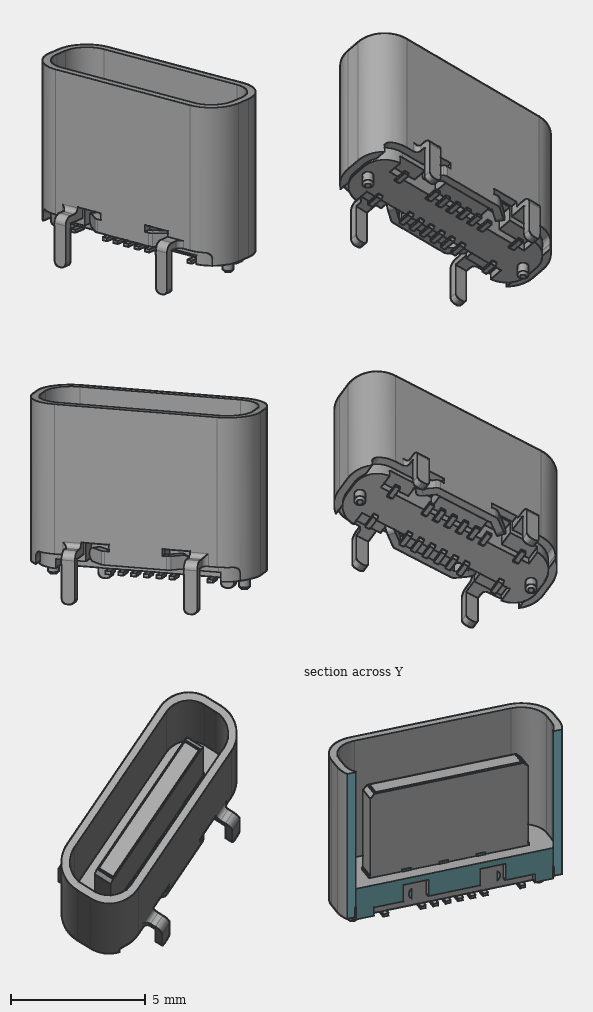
import cadquery as cq
import math


shell_length = 8.94
shell_depth = 3.165
shell_top = 6.365
shell_bottom = 0.11
shell_corner = 1.29
wall = 0.3
notch_half_length = 4.005
notch_top = 0.63
notch_corner = 0.215
tab_bottom = 0.36
face_y = shell_depth / 2
inner_y = face_y - wall

slot_start = 1.05
slot_end = 2.14
slot_top = 1.15
wing_root = 1.22
wing_tip = 1.985
wing_top = 0.885
wing_bend_radius = 0.25
wing_angle = 38.0

leg_start = slot_end
leg_width = 0.53
leg_span = 4.6
leg_bottom = -1.08
leg_bend_radius = 0.31
leg_tip_radius = 0.22
leg_fillet = 0.2
leg_top = notch_top + wall
leg_reach = leg_span / 2

cavity_length = shell_length - 2 * wall
cavity_depth = shell_depth - 2 * wall
cavity_corner = 1.02
insulator_top = 1.34
recess_half_length = 3.24
recess_top = tab_bottom
web_half_depth = 0.67
pocket_clearance = 0.09

tongue_length = 6.44
tongue_depth = 0.715
tongue_top = 4.97
tongue_root_step = 0.045
tongue_root_height = 0.09
tongue_end_chamfer = 0.17
tongue_shoulder = 0.06
tongue_shoulder_drop = 0.045
tongue_side_chamfer = 0.045
nub_width = 0.37
rear_nub_height = 0.05
front_nub_height = 0.03
rear_nub_pitch = 1.99
front_nub_pitch = 1.5
front_nub_offset = -0.22

contact_pitch = 0.5
tail_steps = (-5.5, -2.5, -1.5, -0.5, 0.5, 1.5, 2.5, 5.5)
tail_width = 0.21
tail_thickness = 0.125
tail_start = 0.46
tail_end = 1.07
tail_chamfer = 0.09
peg_x = 3.75
peg_diameter = 0.42
peg_length = 0.53
peg_chamfer = 0.1


def box(x_min, x_max, y_min, y_max, z_min, z_max):
    """Box between two opposite corners."""
    size = (x_max - x_min, y_max - y_min, z_max - z_min)
    return cq.Workplane("XY").box(*size, centered=False).translate((x_min, y_min, z_min))


def rounded_prism(length, depth, corner, z_min, z_max):
    """Upright prism with a rounded rectangular outline."""
    prism = cq.Workplane("XY", origin=(0, 0, z_min)).rect(length, depth).extrude(z_max - z_min)
    return prism.edges("|Z").fillet(corner)


def in_quadrant(shape, x_side, y_side):
    """Copy of a shape drawn at +X, -Y, mirrored to the chosen sides."""
    if x_side < 0:
        shape = shape.mirror("YZ")
    if y_side > 0:
        shape = shape.mirror("XZ")
    return shape


def notch_cutter():
    """Round-cornered clearance under both long walls."""
    cutter = box(-notch_half_length, notch_half_length, -face_y, face_y, shell_bottom, notch_top)
    return cutter.edges("|Y and >Z").fillet(notch_corner)


def slot_cutter():
    """Wall opening between the centre tab and a leg."""
    return box(slot_start, slot_end, -face_y, -inner_y, tab_bottom, slot_top)


def wing():
    """Round-ended latch wing, bent inward from the centre tab."""
    bend = math.radians(wing_angle)
    along_x = math.cos(bend)
    along_y = math.sin(bend)
    bend_end_x = wing_root + wing_bend_radius * math.sin(bend)
    bend_end_y = -face_y + wing_bend_radius * (1 - math.cos(bend))
    bend_mid_x = wing_root + wing_bend_radius * math.sin(bend / 2)
    bend_mid_y = -face_y + wing_bend_radius * (1 - math.cos(bend / 2))
    back_x = bend_end_x - wall * along_y
    back_y = bend_end_y + wall * along_x
    height = wing_top - tab_bottom

    elbow = (
        cq.Workplane("XY", origin=(0, 0, tab_bottom))
        .moveTo(slot_start, -face_y)
        .lineTo(wing_root, -face_y)
        .threePointArc((bend_mid_x, bend_mid_y), (bend_end_x, bend_end_y))
        .lineTo(back_x, back_y)
        .lineTo(back_x, -inner_y)
        .lineTo(slot_start, -inner_y)
        .close()
        .extrude(height)
    )

    length = (wing_tip - bend_end_x) / along_x
    plate_plane = cq.Plane(
        origin=(bend_end_x, bend_end_y, tab_bottom),
        xDir=(along_x, along_y, 0),
        normal=(along_y, -along_x, 0),
    )
    plate = (
        cq.Workplane(plate_plane)
        .lineTo(length - height / 2, 0)
        .threePointArc((length, height / 2), (length - height / 2, height))
        .lineTo(0, height)
        .close()
        .extrude(-wall)
    )
    return elbow.union(plate)


def leg(has_top_fillet):
    """Through-hole leg bent down from the wall: its side, plan and front outlines intersected."""
    fillet_diagonal = leg_fillet * (1 - 0.5 * math.sqrt(2))
    bend_diagonal = leg_bend_radius * (1 - 0.5 * math.sqrt(2))
    leg_end = leg_start + leg_width
    fillet_end = leg_end + leg_fillet
    fillet_y = -face_y - leg_fillet

    side = cq.Workplane("YZ").moveTo(-inner_y, notch_top)
    if has_top_fillet:
        side = (
            side.lineTo(-inner_y, leg_top + leg_fillet)
            .lineTo(-face_y, leg_top + leg_fillet)
            .threePointArc((-face_y - fillet_diagonal, leg_top + fillet_diagonal), (fillet_y, leg_top))
        )
    else:
        side = side.lineTo(-inner_y, leg_top)
    side = (
        side.lineTo(-leg_reach + leg_bend_radius, leg_top)
        .threePointArc(
            (-leg_reach + bend_diagonal, leg_top - bend_diagonal),
            (-leg_reach, leg_top - leg_bend_radius),
        )
        .lineTo(-leg_reach, leg_bottom)
        .lineTo(-leg_reach + wall, leg_bottom)
        .lineTo(-leg_reach + wall, notch_top)
        .close()
        .extrude(fillet_end)
    )

    plan = (
        cq.Workplane("XY", origin=(0, 0, leg_bottom))
        .moveTo(leg_start, -inner_y)
        .lineTo(leg_start, -leg_reach)
        .lineTo(leg_end, -leg_reach)
        .lineTo(leg_end, fillet_y)
        .threePointArc((leg_end + fillet_diagonal, -face_y - fillet_diagonal), (fillet_end, -face_y))
        .lineTo(fillet_end, -inner_y)
        .close()
        .extrude(slot_top - leg_bottom)
    )

    front = box(leg_start, leg_end, -leg_reach, 0, leg_bottom, slot_top)
    front = front.edges("|Y and <Z").fillet(leg_tip_radius)
    front = front.union(box(leg_end, fillet_end, -leg_reach, 0, notch_top, slot_top))
    return side.intersect(plan).intersect(front)


def make_shell():
    """Drawn metal tube with notched lower edge, latch wings and four legs."""
    shell = rounded_prism(shell_length, shell_depth, shell_corner, shell_bottom, shell_top)
    shell = shell.cut(rounded_prism(cavity_length, cavity_depth, cavity_corner, shell_bottom, shell_top))
    centre_tab = shell.intersect(box(-slot_start, slot_start, -face_y, face_y, tab_bottom, notch_top))
    shell = shell.cut(notch_cutter()).union(centre_tab)
    for x_side in (-1, 1):
        for y_side in (-1, 1):
            has_top_fillet = not (x_side > 0 and y_side < 0)
            shell = shell.cut(in_quadrant(slot_cutter(), x_side, y_side))
            shell = shell.union(in_quadrant(wing(), x_side, y_side))
            shell = shell.union(in_quadrant(leg(has_top_fillet), x_side, y_side))
    return shell


def tongue():
    """Contact tongue on a slightly longer root, with bevelled tip and small nubs on both broad faces."""
    half_length = tongue_length / 2
    half_depth = tongue_depth / 2
    shoulder_top = tongue_top - tongue_shoulder_drop
    root_top = insulator_top + tongue_root_height
    blade_half_length = half_length - tongue_root_step
    bevel_end = blade_half_length - tongue_end_chamfer
    tip_half_length = bevel_end - tongue_shoulder
    end_outline = (
        cq.Workplane("XZ", origin=(0, half_depth, 0))
        .moveTo(-half_length, insulator_top)
        .lineTo(half_length, insulator_top)
        .lineTo(half_length, root_top)
        .lineTo(blade_half_length, root_top)
        .lineTo(blade_half_length, shoulder_top - tongue_end_chamfer)
        .lineTo(bevel_end, shoulder_top)
        .lineTo(tip_half_length, shoulder_top)
        .lineTo(tip_half_length, tongue_top)
        .lineTo(-tip_half_length, tongue_top)
        .lineTo(-tip_half_length, shoulder_top)
        .lineTo(-bevel_end, shoulder_top)
        .lineTo(-blade_half_length, shoulder_top - tongue_end_chamfer)
        .lineTo(-blade_half_length, root_top)
        .lineTo(-half_length, root_top)
        .close()
        .extrude(tongue_depth)
    )
    blade = end_outline.faces(">Z").edges("|X").chamfer(tongue_side_chamfer)
    for step in (-1, 0, 1):
        rear_x = step * rear_nub_pitch
        front_x = front_nub_offset + step * front_nub_pitch
        rear_nub = box(
            rear_x - nub_width / 2,
            rear_x + nub_width / 2,
            0,
            half_depth + rear_nub_height,
            insulator_top,
            root_top,
        )
        front_nub = box(
            front_x - nub_width / 2,
            front_x + nub_width / 2,
            -half_depth - front_nub_height,
            0,
            insulator_top,
            root_top,
        )
        blade = blade.union(rear_nub).union(front_nub)
    return blade


def tail(centre_x):
    """Flat contact tail on the -Y side, bevelled at its inner lower edge."""
    block = box(
        centre_x - tail_width / 2,
        centre_x + tail_width / 2,
        -tail_end,
        -tail_start,
        -tail_thickness,
        0,
    )
    return block.edges("|X and >Y and <Z").chamfer(tail_chamfer)


def peg():
    """Locating peg with a bevelled tip."""
    pin = cq.Workplane("XY").circle(peg_diameter / 2).extrude(-peg_length)
    return pin.faces("<Z").chamfer(peg_chamfer)


def make_insulator():
    """Moulded insulator that fills the foot of the shell, with tongue, tails and pegs."""
    insulator = rounded_prism(cavity_length, cavity_depth, cavity_corner, 0, insulator_top)
    recess = box(
        -recess_half_length, recess_half_length, -cavity_depth / 2, -web_half_depth, 0, recess_top
    )
    pocket = box(
        slot_start,
        slot_end - pocket_clearance,
        -cavity_depth / 2,
        -web_half_depth,
        recess_top,
        slot_top - pocket_clearance,
    )
    for y_side in (-1, 1):
        insulator = insulator.cut(in_quadrant(recess, 1, y_side))
        for x_side in (-1, 1):
            insulator = insulator.cut(in_quadrant(pocket, x_side, y_side))
        for step in tail_steps:
            insulator = insulator.union(in_quadrant(tail(step * contact_pitch), 1, y_side))
    for x in (-peg_x, peg_x):
        insulator = insulator.union(peg().translate((x, 0, 0)))
    return insulator.union(tongue())


shell = make_shell()
insulator = make_insulator()

result = cq.Compound.makeCompound([shell.solids().val(), insulator.solids().val()])